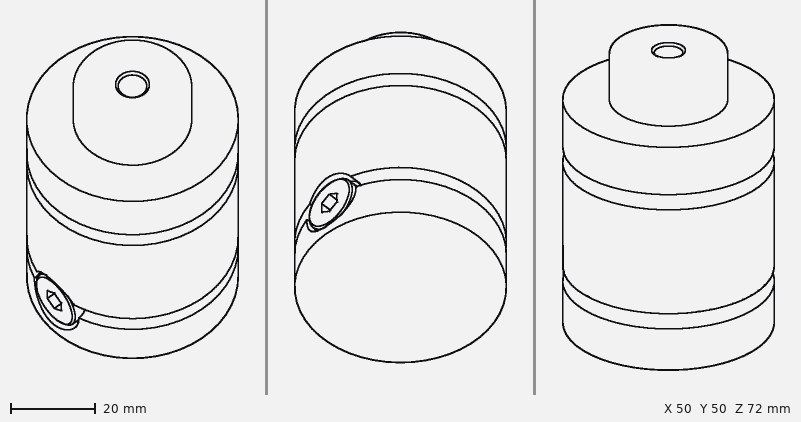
import cadquery as cq
import math

body_diameter = 50.0
body_height = 59.05
total_height = 72.0
rod_diameter = 28.0
rod_edge_radius = 1.0

groove_radius = 2.0
groove_heights = (12.95, 44.5)

tap_diameter = 6.8
tap_mouth_diameter = 8.0
tap_depth = 14.4
drill_point_angle = 118.0

plug_height = 10.5
recess_diameter = 16.0
recess_depth = 4.0
plug_diameter = 14.0
plug_inset = 0.6
plug_chamfer = 0.5
hex_across_flats = 5.0
hex_depth = 4.0

body_radius = body_diameter / 2
plug_face_y = -body_radius + plug_inset
recess_floor_y = -body_radius + recess_depth


def side_plane(y):
    """Plane at the plug axis, facing out along -Y."""
    return cq.Workplane("XZ", origin=(0, y, plug_height))


def make_body():
    rod = (
        cq.Workplane("XY")
        .circle(rod_diameter / 2)
        .extrude(total_height)
        .faces(">Z")
        .edges()
        .fillet(rod_edge_radius)
    )
    return cq.Workplane("XY").circle(body_radius).extrude(body_height).union(rod)


def make_groove(height):
    return cq.Workplane("XY").add(
        cq.Solid.makeTorus(body_radius, groove_radius, cq.Vector(0, 0, height))
    )


def make_tapped_hole():
    tap_radius = tap_diameter / 2
    mouth_radius = tap_mouth_diameter / 2
    countersink_depth = mouth_radius - tap_radius
    point_length = tap_radius / math.tan(math.radians(drill_point_angle / 2))
    floor = total_height - tap_depth
    return (
        cq.Workplane("XZ")
        .moveTo(0, floor - point_length)
        .lineTo(tap_radius, floor)
        .lineTo(tap_radius, total_height - countersink_depth)
        .lineTo(mouth_radius, total_height)
        .lineTo(0, total_height)
        .close()
        .revolve(360, (0, 0, 0), (0, 1, 0))
    )


def make_recess():
    return side_plane(recess_floor_y).circle(recess_diameter / 2).extrude(recess_depth)


def make_plug():
    plug = (
        side_plane(0)
        .circle(plug_diameter / 2)
        .extrude(-plug_face_y)
        .faces("<Y")
        .chamfer(plug_chamfer)
    )
    hex_across_corners = hex_across_flats / math.cos(math.pi / 6)
    socket = (
        side_plane(plug_face_y)
        .transformed(rotate=(0, 0, 90))
        .polygon(6, hex_across_corners)
        .extrude(-hex_depth)
    )
    return plug.cut(socket), socket


plug, socket = make_plug()

result = make_body().cut(make_tapped_hole())
for groove_height in groove_heights:
    result = result.cut(make_groove(groove_height))
result = result.cut(make_recess()).union(plug).cut(socket)